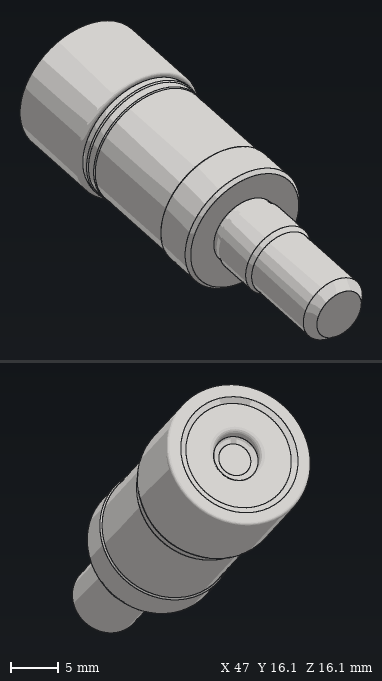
import cadquery as cq

total_length = 47.0

head_radius = 8.05
head_length = 10.75
head_fillet = 0.4

recess_rim_radius = 6.55
recess_floor_radius = 5.87
recess_depth = 0.3
dish_depth = 0.4
lip_fillet = 0.85

spigot_radius = 2.5
spigot_start = dish_depth + lip_fillet
countersink_radius = 2.23
countersink_depth = 0.15
socket_floor_radius = 1.8
socket_depth = 0.35

collar_radius = 15.0 / 2
barrel_radius = 14.6 / 2
front_land_radius = 7.4
front_bevel_length = 0.45
front_collar_end = 11.6
front_land_end = 12.75
small_bevel_length = 0.2
rear_collar_start = 25.05
barrel_end = 29.9
rear_chamfer = 0.4

neck_radius = 8.1 / 2
neck_end = 30.45
shoulder_radius = 8.5 / 2
shoulder_start = 31.15
shoulder_end = 35.95
rod_radius = 7.75 / 2
rod_start = 36.5
rod_chamfer_length = 1.15
rod_tip_radius = 2.9


def revolve_about_x(profile):
    """Turn a closed profile of (x, radius) points about the X axis."""
    return profile.close().revolve(360, (0, 0, 0), (1, 0, 0))


def make_head():
    """Rounded ring with a dished front face and a bore for the spigot."""
    profile = (
        cq.Workplane("XY")
        .moveTo(0, recess_rim_radius)
        .lineTo(0, head_radius - head_fillet)
        .radiusArc((head_fillet, head_radius), head_fillet)
        .lineTo(head_length - head_fillet, head_radius)
        .radiusArc((head_length, head_radius - head_fillet), head_fillet)
        .lineTo(head_length, spigot_radius)
        .lineTo(spigot_start, spigot_radius)
        .radiusArc((dish_depth, spigot_radius + lip_fillet), lip_fillet)
        .lineTo(recess_depth, recess_floor_radius)
    )
    return revolve_about_x(profile)


def make_body():
    """Spigot, barrel and rod in one piece, with a centre socket in the spigot."""
    profile = cq.Workplane("XY").polyline([
        (spigot_start + socket_depth, 0),
        (spigot_start + socket_depth, socket_floor_radius),
        (spigot_start + countersink_depth, countersink_radius),
        (spigot_start, spigot_radius),
        (head_length, spigot_radius),
        (head_length, front_land_radius),
        (head_length + front_bevel_length, collar_radius),
        (front_collar_end, collar_radius),
        (front_collar_end + small_bevel_length, front_land_radius),
        (front_land_end, front_land_radius),
        (front_land_end + small_bevel_length, barrel_radius),
        (rear_collar_start - small_bevel_length, barrel_radius),
        (rear_collar_start, collar_radius),
        (barrel_end - rear_chamfer, collar_radius),
        (barrel_end, collar_radius - rear_chamfer),
        (barrel_end, neck_radius),
        (neck_end, neck_radius),
        (shoulder_start, shoulder_radius),
        (shoulder_end, shoulder_radius),
        (rod_start, rod_radius),
        (total_length - rod_chamfer_length, rod_radius),
        (total_length, rod_tip_radius),
        (total_length, 0),
    ])
    return revolve_about_x(profile)


head = make_head()
body = make_body()
result = cq.Compound.makeCompound([head.val(), body.val()])